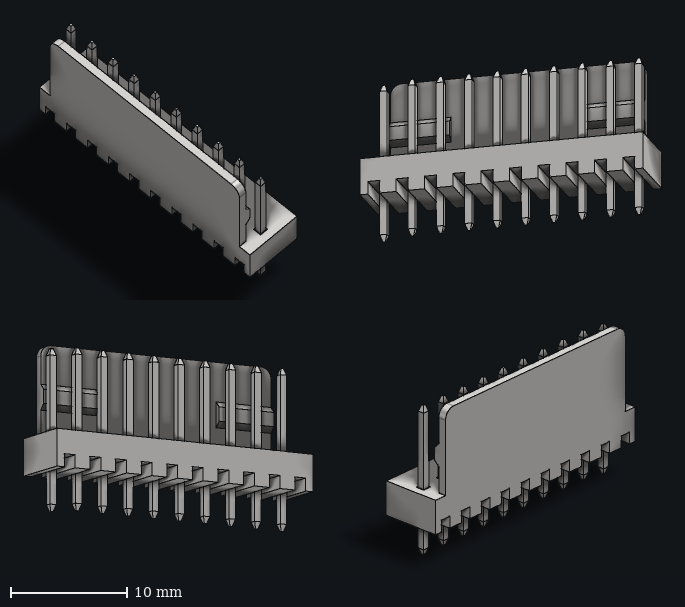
import cadquery as cq


base_length = 25.4
base_depth = 5.8
base_height = 3.3

wall_width = 22.85
wall_thickness = 0.8
wall_top = 11.5
wall_corner_radius = 1.02

latch_length = 5.45
latch_projection = 0.5
latch_bottom = 5.77
latch_height = 2.25

pin_count = 10
pin_pitch = 2.55
pin_y = 2.6
pin_width = 0.65
pin_bottom = -3.1
pin_top = 11.15
tip_length = 0.6
tip_width = 0.25
last_pin_drop = 0.3

slot_width = 1.07
slot_height = 1.15
entry_width = 0.85
entry_depth = (entry_width - pin_width) / 2

pin_positions = [(i - (pin_count - 1) / 2) * pin_pitch for i in range(pin_count)]


def frustum(x, z_start, width_start, z_end, width_end):
    """Square tapered solid on a pin axis, between two heights."""
    return (
        cq.Workplane("XY", origin=(x, pin_y, z_start))
        .rect(width_start, width_start)
        .workplane(offset=z_end - z_start)
        .rect(width_end, width_end)
        .loft(ruled=True)
    )


def make_base():
    """Rectangular block with a slot and a tapered entry at every pin."""
    base = cq.Workplane("XY").box(base_length, base_depth, base_height, centered=(True, False, False))
    for x in pin_positions:
        slot = (
            cq.Workplane("XY", origin=(x, 0, 0))
            .box(slot_width, base_depth, slot_height, centered=(True, False, False))
        )
        entry = frustum(x, base_height, entry_width, base_height - entry_depth, pin_width)
        base = base.cut(slot).cut(entry)
    return base


def make_wall():
    """Upright plate with its two top corners rounded."""
    return (
        cq.Workplane("XY", origin=(0, 0, base_height))
        .box(wall_width, wall_thickness, wall_top - base_height, centered=(True, False, False))
        .edges("|Y and >Z")
        .fillet(wall_corner_radius)
    )


def make_latch(x_start):
    """Ridge of trapezoidal section with 45 degree ramps."""
    latch_top = latch_bottom + latch_height
    crest_y = wall_thickness + latch_projection
    return (
        cq.Workplane("YZ", origin=(x_start, 0, 0))
        .polyline([
            (0, latch_bottom),
            (wall_thickness, latch_bottom),
            (crest_y, latch_bottom + latch_projection),
            (crest_y, latch_top - latch_projection),
            (wall_thickness, latch_top),
            (0, latch_top),
        ])
        .close()
        .extrude(latch_length)
    )


def make_pin(x, drop):
    """Square pin with a blunt tapered tip at both ends, lowered by drop."""
    shank_bottom = pin_bottom + tip_length - drop
    shank_top = pin_top - tip_length - drop
    shank = (
        cq.Workplane("XY", origin=(x, pin_y, shank_bottom))
        .rect(pin_width, pin_width)
        .extrude(shank_top - shank_bottom)
    )
    top_tip = frustum(x, shank_top, pin_width, shank_top + tip_length, tip_width)
    bottom_tip = frustum(x, shank_bottom, pin_width, shank_bottom - tip_length, tip_width)
    return shank.union(top_tip).union(bottom_tip)


result = make_base().union(make_wall())
for latch_start in (-wall_width / 2, wall_width / 2 - latch_length):
    result = result.union(make_latch(latch_start))
for x in pin_positions:
    is_last = x == pin_positions[-1]
    result = result.union(make_pin(x, last_pin_drop if is_last else 0))